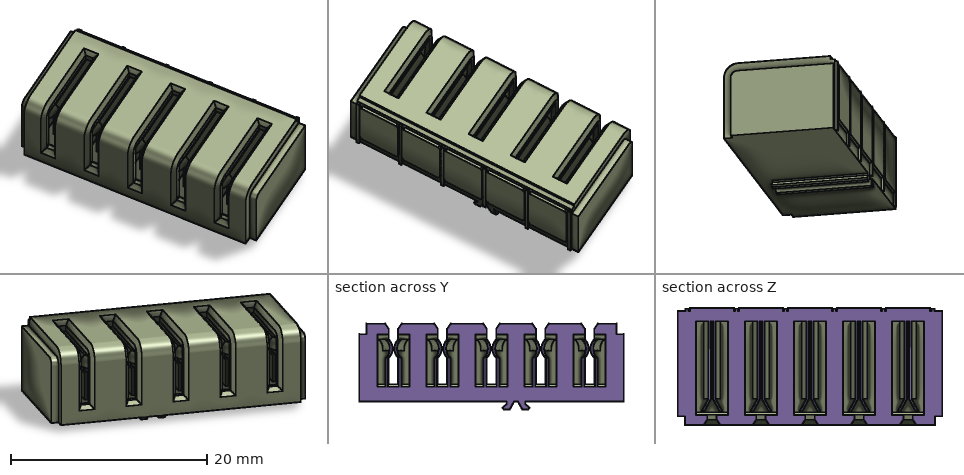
import cadquery as cq
import math


overall_length = 27.0
housing_height = 8.0
housing_depth = 11.65
housing_corner_radius = 1.5
end_cap_length = 0.75
end_cap_front = 0.9
end_cap_height = 6.9
end_cap_radius = 0.7
housing_length = overall_length - 2 * end_cap_length

ledge_front = 11.15
ledge_front_height = 7.7
ledge_rear_height = 7.6

slot_count = 5
slot_pitch = 5.0
slot_width = 0.92
slot_bottom = 1.78
slot_rear = 9.1
mouth_depth = 0.57
mouth_side_flare = 0.38
mouth_bottom_flare = 0.4
mouth_rear_flare = 0.32

front_wall = 1.05
rear_wall = 1.05
cavity_ceiling = 6.83
roof_thickness = housing_height - cavity_ceiling
cavity_width = 3.25
cavity_sill = 0.25
cavity_rear = housing_depth - rear_wall
cavity_floor = slot_bottom - cavity_sill

contact_half_gap = 0.08
bulge_radius = 1.27
bulge_centre_height = 5.4
bulge_half_height = 0.97
leaf_thickness = 0.3
leaf_front = 2.67
lead_in_length = 1.3
lead_in_spread = 0.7
lead_in_bottom = 5.2

tail_centre = -slot_pitch / 2
tail_front = 1.62
tail_drop = 0.8
tail_root_inner = 0.2
tail_root_outer = 0.95
tail_root_drop = 0.22
tail_tip_drop = 0.62
tail_tip_outer = 1.38
tail_foot_outer = 1.25
tail_foot_inner = 0.65

rib_thickness = 0.25
rib_width = 0.32
rib_height = 7.4
end_rib_overall = 25.38
plate_thickness = 0.32
plate_width = 4.5
plate_bottom = 1.27
plate_top = 7.15
plate_corner_chamfer = 0.2

slot_centres = [slot_pitch * (i - (slot_count - 1) / 2) for i in range(slot_count)]
arc_middle = math.sqrt(0.5)


def side_section(x):
    """Sketch plane across the part at x, with local axes Y and Z."""
    return cq.Workplane("YZ", origin=(x, 0, 0))


def front_section(x, y):
    """Sketch plane at depth y centred on x, with local axes X and Z; it extrudes toward the front."""
    return cq.Workplane("XZ", origin=(x, y, 0))


def box(x_centre, width, y_min, y_max, z_min, z_max):
    size_y = y_max - y_min
    size_z = z_max - z_min
    centre = (x_centre, (y_min + y_max) / 2, (z_min + z_max) / 2)
    return cq.Workplane("XY").box(width, size_y, size_z).translate(centre)


def make_housing():
    radius = housing_corner_radius
    corner_offset = radius * (1 - arc_middle)
    housing = (
        side_section(-housing_length / 2)
        .lineTo(0, housing_height - radius)
        .threePointArc((corner_offset, housing_height - corner_offset), (radius, housing_height))
        .lineTo(ledge_front, housing_height)
        .lineTo(ledge_front, ledge_front_height)
        .lineTo(housing_depth, ledge_rear_height)
        .lineTo(housing_depth, 0)
        .close()
        .extrude(housing_length)
    )
    end_caps = (
        box(0, overall_length, end_cap_front, housing_depth, 0, end_cap_height)
        .edges("|X and >Z and <Y")
        .fillet(end_cap_radius)
    )
    return housing.union(end_caps)


def slot_outline(x, depth, bottom_flare=mouth_bottom_flare, rear_flare=mouth_rear_flare):
    """Region outside the housing skin inset by depth; the two ends taper inward at the given flares."""
    radius = housing_corner_radius - depth
    corner_offset = depth + radius * (1 - arc_middle)
    outside = -mouth_depth

    def bottom_at(d):
        return slot_bottom - bottom_flare * (1 - d / mouth_depth)

    def rear_at(d):
        return slot_rear + rear_flare * (1 - d / mouth_depth)

    return (
        side_section(x)
        .moveTo(outside, bottom_at(outside))
        .lineTo(depth, bottom_at(depth))
        .lineTo(depth, housing_height - housing_corner_radius)
        .threePointArc(
            (corner_offset, housing_height - corner_offset),
            (housing_corner_radius, housing_height - depth),
        )
        .lineTo(rear_at(depth), housing_height - depth)
        .lineTo(rear_at(outside), housing_height - outside)
        .lineTo(outside, housing_height - outside)
        .close()
    )


def make_slot(x):
    """Flared mouth plus the straight throat that opens into the cavity."""
    half_width = slot_width / 2
    mouth = slot_outline(x - half_width, mouth_depth).extrude(slot_width)
    for side in (-1, 1):
        inner = slot_outline(x + side * half_width, mouth_depth).val()
        outer = slot_outline(x + side * (half_width + mouth_side_flare), 0).val()
        mouth = mouth.union(cq.Workplane(cq.Solid.makeLoft([inner, outer], True)))
    throat = slot_outline(x - half_width, roof_thickness, 0, 0).extrude(slot_width)
    return mouth.union(throat)


def make_cavity(x):
    return (
        side_section(x - cavity_width / 2)
        .moveTo(front_wall + cavity_sill, cavity_floor)
        .lineTo(front_wall, slot_bottom)
        .lineTo(front_wall, cavity_ceiling)
        .lineTo(cavity_rear, cavity_ceiling)
        .lineTo(cavity_rear, cavity_floor)
        .close()
        .extrude(cavity_width)
    )


def bulge_face(z):
    """Distance of the bulged contact face from the slot centre at height z."""
    rise = z - bulge_centre_height
    return contact_half_gap + bulge_radius - math.sqrt(bulge_radius**2 - rise**2)


def leaf_outline(x, arc_bottom, foot):
    """Section of the right-hand leaf: a bulged strip down to arc_bottom, then a straight leg to foot."""
    arc_top = bulge_centre_height + bulge_half_height
    arc_mid = (arc_top + arc_bottom) / 2
    top_x = bulge_face(arc_top)
    mid_x = bulge_face(arc_mid)
    bottom_x = bulge_face(arc_bottom)
    outline = front_section(x, leaf_front).moveTo(top_x, arc_top)
    outline = outline.threePointArc((mid_x, arc_mid), (bottom_x, arc_bottom))
    if foot < arc_bottom:
        outline = outline.lineTo(bottom_x, foot)
    outline = outline.lineTo(bottom_x + leaf_thickness, foot)
    if foot < arc_bottom:
        outline = outline.lineTo(bottom_x + leaf_thickness, arc_bottom)
    return outline.threePointArc(
        (mid_x + leaf_thickness, arc_mid), (top_x + leaf_thickness, arc_top)
    ).close()


def make_contact(x):
    """Two mirrored leaves rooted in the cavity floor and rear wall, splayed apart at their front tips."""
    leaf_bottom = bulge_centre_height - bulge_half_height
    blade = leaf_outline(x, leaf_bottom, cavity_floor).extrude(leaf_front - cavity_rear)
    tip_face = cq.Face.makeFromWires(leaf_outline(x, lead_in_bottom, lead_in_bottom).val())
    tip = cq.Solid.extrudeLinear(tip_face, cq.Vector(lead_in_spread, -lead_in_length, 0))
    leaf = blade.union(cq.Workplane(tip))
    return leaf.union(leaf.mirror("YZ", (x, 0, 0)))


def make_tail():
    leg = (
        front_section(tail_centre, housing_depth)
        .moveTo(tail_root_inner, 0)
        .lineTo(tail_foot_inner, -tail_drop)
        .lineTo(tail_foot_outer, -tail_drop)
        .lineTo(tail_tip_outer, -tail_tip_drop)
        .lineTo(tail_root_outer, -tail_root_drop)
        .lineTo(tail_root_outer, 0)
        .close()
        .extrude(housing_depth - tail_front)
    )
    return leg.union(leg.mirror("YZ", (tail_centre, 0, 0)))


def make_rear_plate(x):
    rear = housing_depth + plate_thickness
    plate = box(x, plate_width, housing_depth, rear, plate_bottom, plate_top)
    return plate.edges("|Y").chamfer(plate_corner_chamfer)


def make_rear_ribs():
    """Ribs between neighbouring plates and one at each end of the row."""
    end_centre = (end_rib_overall - rib_width) / 2
    between = [x + slot_pitch / 2 for x in slot_centres[:-1]]
    rear = housing_depth + rib_thickness
    ribs = cq.Workplane("XY")
    for x in [-end_centre, *between, end_centre]:
        ribs = ribs.add(box(x, rib_width, housing_depth, rear, 0, rib_height))
    return ribs.combine()


part = make_housing()
for centre in slot_centres:
    part = part.cut(make_slot(centre)).cut(make_cavity(centre))
    part = part.union(make_contact(centre))
    part = part.union(make_rear_plate(centre))
result = part.union(make_rear_ribs()).union(make_tail())